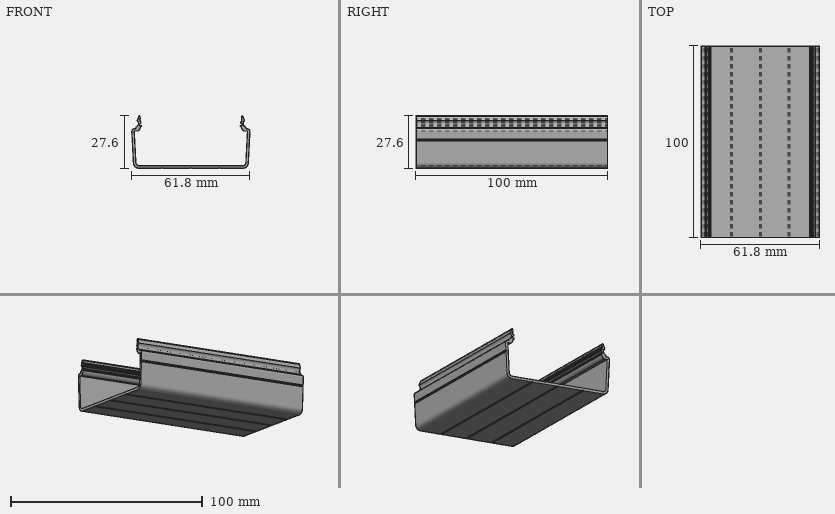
import cadquery as cq
import math

length = 100.0
width = 61.8
height = 27.6
wall = 1.4
wall_lean = 3.0
ledge_top = 20.8
ledge_inner = 27.8
shoulder_radius = 1.7
outer_corner_radius = 3.0
inner_corner_radius = outer_corner_radius - wall

lip_root = 28.9
lip_step = [(28.7, 21.4), (28.2, 21.9)]
lip_neck = (27.4, 23.1)
lip_bulge = (28.1, 24.9)
lip_tip = [(27.2, 27.2), (26.8, height), (26.5, 27.2), (26.4, 26.0), (26.7, 25.6), (26.4, 25.2)]
upper_barb = [(26.4, 24.7), (26.6, 24.4), (26.0, 24.1), (26.0, 23.7), (26.7, 23.0)]
lower_barb = [(26.7, 22.5), (26.1, 22.5), (25.7, 22.1), (26.3, 21.7)]
lip_heel = (26.7, 20.4)

groove_width = 1.0
groove_depth = 0.3
floor_groove_pitch = 15.0
wall_groove_height = 14.8

lean = math.tan(math.radians(wall_lean))
shoulder_height = ledge_top - shoulder_radius
ledge_bottom = ledge_top - wall
opening_height = 3 * wall


def outer_half_width(z):
    """Half-width of the outer wall faces at height z."""
    return width / 2 - lean * (shoulder_height - z)


def extrude_along_y(sketch):
    """Extrude an XZ sketch over the whole length, centred on Y = 0."""
    return sketch.extrude(length / 2, both=True)


def trapezoid_bar(bottom, top, inset):
    """Full-length bar between two levels, parallel to the leaning walls."""
    low = outer_half_width(bottom) - inset
    high = outer_half_width(top) - inset
    corners = [(-low, bottom), (low, bottom), (high, top), (-high, top)]
    return extrude_along_y(cq.Workplane("XZ").polyline(corners).close())


def make_channel():
    """Floor, leaning walls and inward ledges, without the lips."""
    body = trapezoid_bar(0, ledge_top, 0)
    body = body.faces("<Z").edges("|Y").fillet(outer_corner_radius)
    body = body.faces(">Z").edges("|Y").fillet(shoulder_radius)
    cavity = trapezoid_bar(wall, ledge_bottom, wall)
    cavity = cavity.faces("<Z").edges("|Y").fillet(inner_corner_radius)
    opening = extrude_along_y(
        cq.Workplane("XZ").center(0, ledge_bottom).rect(2 * ledge_inner, opening_height)
    )
    return body.cut(cavity).cut(opening)


def make_right_lip():
    """Snap lip standing on the right-hand ledge, with two barbs facing inwards."""
    outline = (
        cq.Workplane("XZ")
        .moveTo(lip_root, ledge_bottom)
        .lineTo(lip_root, ledge_top)
        .polyline(lip_step, includeCurrent=True)
        .threePointArc(lip_neck, lip_bulge)
        .polyline(lip_tip + upper_barb + lower_barb, includeCurrent=True)
        .threePointArc(lip_heel, (ledge_inner, ledge_bottom))
        .close()
    )
    return extrude_along_y(outline)


def v_groove(x, z, angle):
    """V-groove cutter at (x, z); at angle 0 it cuts upwards into a bottom face."""
    half = groove_width / 2
    outline = cq.Workplane("XZ").polyline([(-half, 0), (half, 0), (0, groove_depth)]).close()
    cutter = extrude_along_y(outline).rotate((0, 0, 0), (0, 1, 0), angle)
    return cutter.translate((x, 0, z))


right_lip = make_right_lip()
result = make_channel().union(right_lip).union(right_lip.mirror("YZ"))

for step in (-1, 0, 1):
    result = result.cut(v_groove(step * floor_groove_pitch, 0, 0))

groove_x = outer_half_width(wall_groove_height)
for side in (-1, 1):
    turn = side * (wall_lean - 90)
    result = result.cut(v_groove(side * groove_x, wall_groove_height, turn))